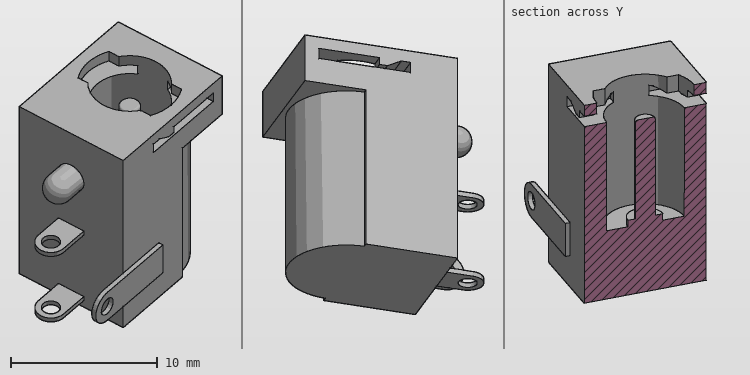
import cadquery as cq
import math


BODY_WIDTH = 9.0
BODY_HEIGHT = 15.3
BODY_BACK_Y = BODY_WIDTH / 2
BODY_FRONT_Y = -6.5
HEAD_HEIGHT = 3.5
BARREL_RADIUS = 4.15
SQUARE_FRONT_DEPTH = 6.6

BORE_RADIUS = 2.85
BORE_DEPTH = 10.0
PIN_RADIUS = 0.75
PIN_TOP_BELOW_RIM = 1.9
PIN_TIP_FILLET = 0.2
COLLAR_RADIUS = 1.3
COLLAR_HEIGHT = 0.5

WING_RADIUS = 3.575
WING_WIDTH = 3.42
SLOT_BELOW_RIM = 0.87
SLOT_CEILING_Z = BODY_HEIGHT - SLOT_BELOW_RIM
SLOT_HEIGHT = 0.77
SLOT_FLOOR_Z = SLOT_CEILING_Z - SLOT_HEIGHT
SLOT_BACK_Y = 3.5
SLOT_FRONT_Y = -3.12
SLOT_INNER_X = 1.3

CATCH_STOP_Y = -0.88
CATCH_FLAT_LENGTH = 0.57
CATCH_RAMP_LENGTH = 1.0
CATCH_DROP = 0.52

PEG_RADIUS = 1.1
PEG_LENGTH = 2.5
PEG_Z = 11.3

TERMINAL_THICKNESS = 0.36
TERMINAL_HOLE_DIAMETER = 1.3
FRONT_TERMINAL_WIDTH = 2.2
FRONT_TERMINAL_REACH = 2.25
FRONT_TERMINAL_HEIGHTS = (0.8, 6.8)
FRONT_TERMINAL_EMBED = 1.0
SIDE_TERMINAL_WIDTH = 2.55
SIDE_TERMINAL_LENGTH = 3.5
SIDE_TERMINAL_REACH = SIDE_TERMINAL_LENGTH - SIDE_TERMINAL_WIDTH / 2
SIDE_TERMINAL_Z = 3.72
SIDE_TERMINAL_BACK_Y = -2.55


def block(x_range, y_range, z_range):
    """Axis-aligned box between the given pairs of limits."""
    (x0, x1), (y0, y1), (z0, z1) = x_range, y_range, z_range
    return cq.Workplane("XY").box(x1 - x0, y1 - y0, z1 - z0, centered=False).translate((x0, y0, z0))


def disc(radius, bottom_z, top_z):
    """Cylinder on the bore axis."""
    return cq.Workplane("XY").workplane(offset=bottom_z).circle(radius).extrude(top_z - bottom_z)


def make_body():
    """Square head on a lower part that is square in front and round behind."""
    half_width = BODY_WIDTH / 2
    sides = (-half_width, half_width)
    head = block(sides, (BODY_FRONT_Y, BODY_BACK_Y), (BODY_HEIGHT - HEAD_HEIGHT, BODY_HEIGHT))
    front = block(sides, (BODY_FRONT_Y, BODY_FRONT_Y + SQUARE_FRONT_DEPTH), (0, BODY_HEIGHT))
    barrel = disc(BARREL_RADIUS, 0, BODY_HEIGHT)
    return head.union(front).union(barrel)


def make_slots():
    """Mirrored pair of slots, each open to one side face and to the bore, less their catches."""
    half_width = BODY_WIDTH / 2
    slot = block(
        (SLOT_INNER_X, half_width),
        (SLOT_FRONT_Y, SLOT_BACK_Y),
        (SLOT_FLOOR_Z, SLOT_CEILING_Z),
    )
    flat_end_y = CATCH_STOP_Y - CATCH_FLAT_LENGTH
    catch_bottom_z = SLOT_CEILING_Z - CATCH_DROP
    catch = (
        cq.Workplane("YZ")
        .moveTo(CATCH_STOP_Y, SLOT_CEILING_Z)
        .lineTo(CATCH_STOP_Y, catch_bottom_z)
        .lineTo(flat_end_y, catch_bottom_z)
        .lineTo(flat_end_y - CATCH_RAMP_LENGTH, SLOT_CEILING_Z)
        .close()
        .extrude(half_width)
    )
    slot = slot.cut(catch)
    return slot.union(slot.mirror("YZ"))


def make_wings():
    """Pair of entry notches that lead from the rim down to the slot floors."""
    half_wing = WING_WIDTH / 2
    heights = (SLOT_FLOOR_Z, BODY_HEIGHT)
    band = block((-WING_RADIUS, WING_RADIUS), (-half_wing, half_wing), heights)
    return disc(WING_RADIUS, *heights).intersect(band)


def make_pin():
    """Centre pin with a rounded tip, standing in a collar on the bore floor."""
    floor_z = BODY_HEIGHT - BORE_DEPTH
    pin = disc(PIN_RADIUS, floor_z, BODY_HEIGHT - PIN_TOP_BELOW_RIM)
    pin = pin.faces(">Z").edges().fillet(PIN_TIP_FILLET)
    return pin.union(disc(COLLAR_RADIUS, floor_z, floor_z + COLLAR_HEIGHT))


def make_peg():
    """Round peg on the front face, ending in a half sphere, as a profile turned about its axis."""
    dome_y = -(PEG_LENGTH - PEG_RADIUS)
    dome_mid = PEG_RADIUS * math.sqrt(0.5)
    peg = (
        cq.Workplane("YZ")
        .lineTo(0, PEG_RADIUS)
        .lineTo(dome_y, PEG_RADIUS)
        .threePointArc((dome_y - dome_mid, dome_mid), (-PEG_LENGTH, 0))
        .close()
        .revolve(360, (0, 0, 0), (1, 0, 0))
    )
    return peg.translate((0, BODY_FRONT_Y, PEG_Z))


def make_terminal(width, back_y, reach):
    """Flat round-ended terminal along -Y, centred on Z = 0, with its hole at the end centre."""
    half_width = width / 2
    end_y = BODY_FRONT_Y - reach
    plate = (
        cq.Workplane("XY")
        .moveTo(-half_width, back_y)
        .lineTo(-half_width, end_y)
        .threePointArc((0, end_y - half_width), (half_width, end_y))
        .lineTo(half_width, back_y)
        .close()
        .extrude(TERMINAL_THICKNESS / 2, both=True)
    )
    hole = (
        cq.Workplane("XY")
        .center(0, end_y)
        .circle(TERMINAL_HOLE_DIAMETER / 2)
        .extrude(TERMINAL_THICKNESS, both=True)
    )
    return plate.cut(hole)


def make_front_terminal(height):
    """Horizontal terminal sticking out of the front face."""
    back_y = BODY_FRONT_Y + FRONT_TERMINAL_EMBED
    return make_terminal(FRONT_TERMINAL_WIDTH, back_y, FRONT_TERMINAL_REACH).translate((0, 0, height))


def make_side_terminal():
    """Upright terminal lying against the +X side."""
    terminal = make_terminal(SIDE_TERMINAL_WIDTH, SIDE_TERMINAL_BACK_Y, SIDE_TERMINAL_REACH)
    upright = terminal.rotate((0, 0, 0), (0, 1, 0), 90)
    return upright.translate((BODY_WIDTH / 2 + TERMINAL_THICKNESS / 2, 0, SIDE_TERMINAL_Z))


result = make_body()
result = result.cut(disc(BORE_RADIUS, BODY_HEIGHT - BORE_DEPTH, BODY_HEIGHT))
result = result.cut(make_slots()).cut(make_wings())
result = result.union(make_pin()).union(make_peg()).union(make_side_terminal())
for terminal_height in FRONT_TERMINAL_HEIGHTS:
    result = result.union(make_front_terminal(terminal_height))